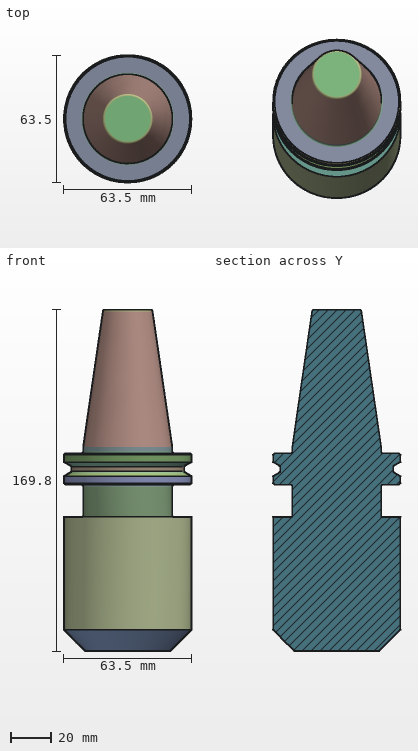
import cadquery as cq

total_length = 169.8
body_diameter = 63.5
nose_chamfer = 10.5
body_top = 66.8
flange_bottom = 82.7
flange_height = 15.8
flange_top = flange_bottom + flange_height

gauge_diameter = 44.5
gauge_height = 101.4
taper_slope = 7 / 24 / 2
taper_end_round = 1.0

neck_diameter = 44.5
body_fillet = 0.5
flange_lower_fillet = 0.8
flange_upper_fillet = 0.7

groove_diameter = 56.4
groove_floor_width = 2.9
groove_mouth_width = 7.0
groove_middle = 90.5
groove_floor_round = 0.5
flange_edge_break = 0.8

body_radius = body_diameter / 2
neck_radius = neck_diameter / 2
gauge_radius = gauge_diameter / 2
groove_radius = groove_diameter / 2
taper_end_radius = gauge_radius - (total_length - gauge_height) * taper_slope


def make_body():
    """Cylindrical holder body with a conical nose."""
    body = cq.Workplane("XY").circle(body_radius).extrude(body_top)
    return body.faces("<Z").chamfer(nose_chamfer)


def make_neck():
    """Plain cylinder running from the body, through the flange, to the gauge line."""
    neck = cq.Workplane("XY").workplane(offset=body_top).circle(neck_radius)
    return neck.extrude(gauge_height - body_top)


def make_flange():
    """Gripper flange with broken outer edges and a V-groove."""
    flange = cq.Workplane("XY").workplane(offset=flange_bottom).circle(body_radius)
    flange = flange.extrude(flange_height).edges().chamfer(flange_edge_break)
    half_floor = groove_floor_width / 2
    half_mouth = groove_mouth_width / 2
    groove = (
        cq.Workplane("XZ")
        .moveTo(body_radius, groove_middle - half_mouth)
        .lineTo(groove_radius, groove_middle - half_floor)
        .lineTo(groove_radius, groove_middle + half_floor)
        .lineTo(body_radius, groove_middle + half_mouth)
        .close()
        .revolve(360, (0, 0), (0, 1))
    )
    floor_corners = cq.selectors.RadiusNthSelector(0)
    groove = groove.edges(floor_corners).fillet(groove_floor_round)
    return flange.cut(groove)


def make_taper():
    """Taper shank above the gauge line with a rounded small end."""
    taper = (
        cq.Workplane("XZ")
        .moveTo(0, gauge_height)
        .lineTo(gauge_radius, gauge_height)
        .lineTo(taper_end_radius, total_length)
        .lineTo(0, total_length)
        .close()
        .revolve(360, (0, 0), (0, 1))
    )
    return taper.faces(">Z").edges().fillet(taper_end_round)


def fillet_neck_corner(solid, height, fillet_radius):
    """Round the inside corner where the neck meets a flat face at the given height."""
    margin = 0.2
    reach = neck_radius + margin
    corner = cq.selectors.BoxSelector(
        (-reach, -reach, height - margin),
        (reach, reach, height + margin),
        boundingbox=True,
    )
    return solid.edges(corner).fillet(fillet_radius)


holder = make_body().union(make_neck()).union(make_flange()).union(make_taper())
for corner_height, corner_fillet in (
    (body_top, body_fillet),
    (flange_bottom, flange_lower_fillet),
    (flange_top, flange_upper_fillet),
):
    holder = fillet_neck_corner(holder, corner_height, corner_fillet)

result = holder